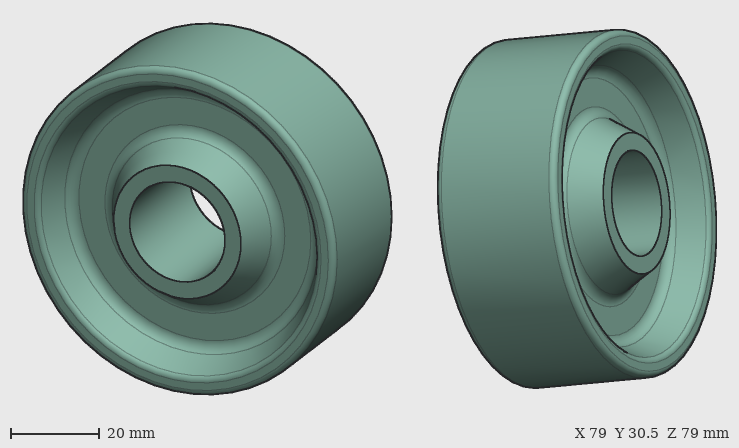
import cadquery as cq
import math

outer_radius = 39.5
width = 30.5
web_thickness = 12.95
bore_radius = 12.0
hub_face_radius = 16.0
hub_taper = 29.0
pocket_floor_radius = 31.1
rim_taper = 25.0
edge_radius = 1.5
web_corner_radius = 3.0

half_width = width / 2
half_web = web_thickness / 2
pocket_depth = half_width - half_web
hub_base_radius = hub_face_radius + pocket_depth * math.tan(math.radians(hub_taper))
rim_mouth_radius = pocket_floor_radius + pocket_depth * math.tan(math.radians(rim_taper))


def wheel_blank():
    """Revolve the sharp-cornered section, which is the same on both sides of the web."""
    front_outline = [
        (bore_radius, -half_width),
        (hub_face_radius, -half_width),
        (hub_base_radius, -half_web),
        (pocket_floor_radius, -half_web),
        (rim_mouth_radius, -half_width),
        (outer_radius, -half_width),
    ]
    back_outline = [(radius, -y) for radius, y in reversed(front_outline)]
    section = cq.Workplane("XY").polyline(front_outline + back_outline).close()
    return section.revolve(360, (0, 0, 0), (0, 1, 0))


def fillet_circles(body, radii, y_distance, fillet_radius):
    """Round the circular edges of the given radii on both sides of the wheel."""
    tolerance = 0.01

    def is_wanted(edge):
        return (
            edge.geomType() == "CIRCLE"
            and abs(abs(edge.Center().y) - y_distance) < tolerance
            and any(abs(edge.radius() - radius) < tolerance for radius in radii)
        )

    return body.newObject(list(filter(is_wanted, body.edges().vals()))).fillet(fillet_radius)


wheel = wheel_blank()
wheel = fillet_circles(wheel, [hub_base_radius, pocket_floor_radius], half_web, web_corner_radius)
result = fillet_circles(wheel, [rim_mouth_radius, outer_radius], half_width, edge_radius)